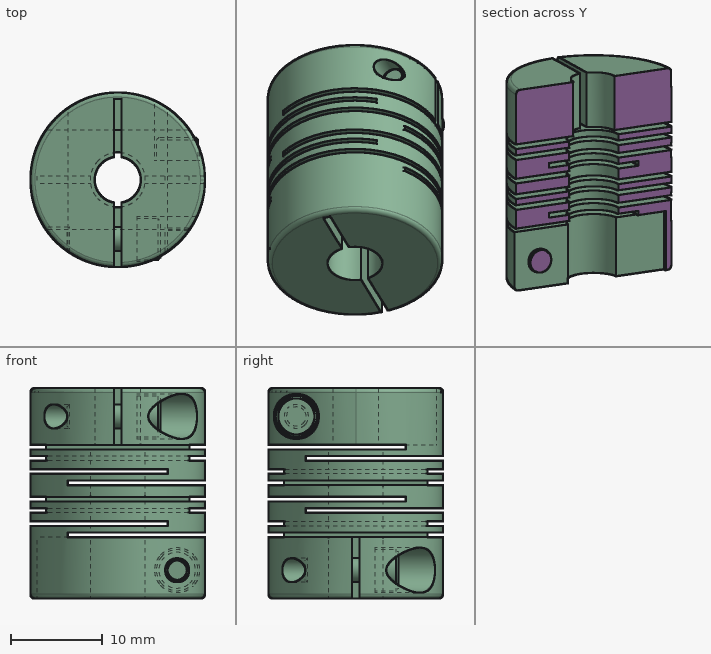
import cadquery as cq


height = 23.0
outer_radius = 9.55
edge_fillet = 0.5
upper_bore_radius = 2.5
lower_bore_radius = 3.0

upper_hub_height = 6.2
slot_width = 0.48
slot_pair_step = 1.25
slot_turn_step = 2.67
slot_group_step = 5.68
slot_reach = 5.45
slots_height = slot_group_step + slot_turn_step + slot_pair_step + slot_width
lower_hub_height = height - upper_hub_height - slots_height

slit_width = 0.8
slit_closed_end = 8.8

screw_offset = 6.49
screw_inset = upper_hub_height / 2
screw_radius = 1.3
screw_tip = -5.52
tip_chamfer = 0.25
head_radius = 2.25
head_height = 2.53
head_top = 4.65
head_chamfer = 0.28
counterbore_radius = 2.45
counterbore_floor = head_top - head_height

bore_step_z = height - upper_hub_height


def x_cylinder(radius, x_start, x_end):
    """Cylinder on the axis of the upper clamp screw."""
    return (
        cq.Workplane("YZ", origin=(x_start, -screw_offset, height - screw_inset))
        .circle(radius)
        .extrude(x_end - x_start)
    )


def to_lower_hub(shape):
    """Turn an upper hub feature a quarter turn and mirror it to the lower hub."""
    turned = shape.rotate((0, 0, 0), (0, 0, 1), 90)
    return turned.mirror("XY", (0, 0, height / 2))


def make_body():
    body = cq.Workplane("XY").circle(outer_radius).extrude(height)
    body = body.faces("<Z or >Z").edges().fillet(edge_fillet)
    upper_bore = cq.Workplane("XY").circle(upper_bore_radius).extrude(height)
    lower_bore = cq.Workplane("XY").circle(lower_bore_radius).extrude(bore_step_z)
    return body.cut(upper_bore).cut(lower_bore)


def make_slot(top_z, open_angle):
    """Flat slot open towards open_angle that leaves one segment of the wall standing."""
    length = outer_radius + slot_reach
    slot = cq.Workplane("XY").box(length, 2 * outer_radius, slot_width, centered=(False, True, False))
    slot = slot.translate((-slot_reach, 0, top_z - slot_width))
    return slot.rotate((0, 0, 0), (0, 0, 1), open_angle)


def make_slit(depth):
    """Slit from the end face through to the nearest flexure slot, open towards -Y."""
    length = outer_radius + slit_closed_end
    slit = cq.Workplane("XY").box(slit_width, length, depth, centered=(True, False, False))
    return slit.translate((0, -outer_radius, height - depth))


def make_screw_hole():
    hole = x_cylinder(screw_radius, -outer_radius, outer_radius)
    return hole.union(x_cylinder(counterbore_radius, counterbore_floor, outer_radius))


def make_screw():
    shank = x_cylinder(screw_radius, screw_tip, counterbore_floor)
    shank = shank.faces("<X").chamfer(tip_chamfer)
    head = x_cylinder(head_radius, counterbore_floor, head_top)
    head = head.faces(">X").chamfer(head_chamfer)
    return shank.union(head)


result = make_body()

for group in range(2):
    group_top = height - upper_hub_height - group * slot_group_step
    result = result.cut(make_slot(group_top, -90))
    result = result.cut(make_slot(group_top - slot_pair_step, 90))
    result = result.cut(make_slot(group_top - slot_turn_step, 180))
    result = result.cut(make_slot(group_top - slot_turn_step - slot_pair_step, 0))

screw_hole = make_screw_hole()
screw = make_screw()

result = result.cut(make_slit(upper_hub_height)).cut(screw_hole).union(screw)

result = result.cut(to_lower_hub(make_slit(lower_hub_height)))
result = result.cut(to_lower_hub(screw_hole)).union(to_lower_hub(screw))